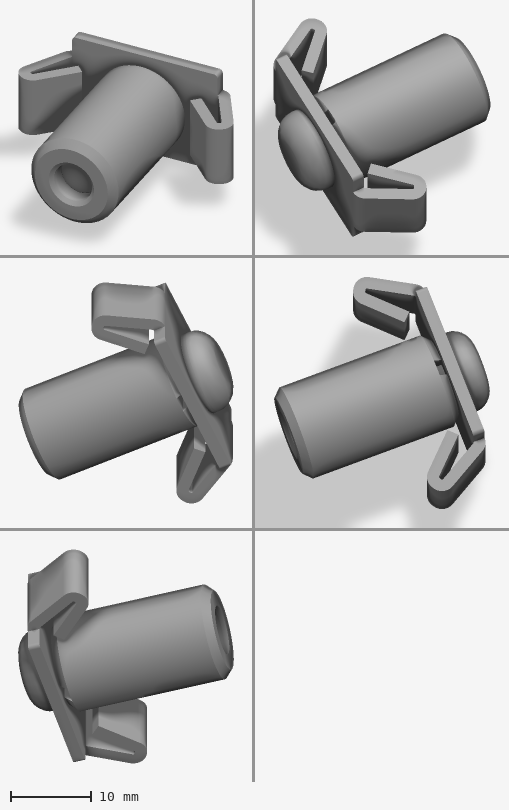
import cadquery as cq
import math


plate_width = 20.0
plate_height = 14.0
sheet_thickness = 1.5
plate_corner_radius = 0.5
arm_height = 8.0
bend_inner_radius = 0.2
bend_outer_radius = bend_inner_radius + sheet_thickness
arm_length = 5.85
fold_flat = 0.2
return_length = 5.85
plate_bend_angle = 60
fold_first_angle = 90
fold_second_angle = 75

head_diameter = 10.5
head_height = 3.33
head_round = 2.65
rod_diameter = 6.0
rod_tip_chamfer = 0.5

barrel_diameter = 12.0
barrel_length = 20.57
barrel_chamfer = 1.0
mouth_diameter = 5.2
mouth_chamfer = 0.5
lip_depth = 2.5
slot_width = 2.0
slot_depth = barrel_chamfer

rod_tip_diameter = rod_diameter - 2 * rod_tip_chamfer
tip_reach = (mouth_diameter - rod_tip_diameter) / 2
rod_length = sheet_thickness + barrel_length - lip_depth + tip_reach


def cylinder(diameter, rear_y, length):
    """Cylinder on the barrel axis, running toward -Y from rear_y."""
    start = cq.Workplane("XZ", origin=(0, rear_y, 0))
    return start.circle(diameter / 2).extrude(length)


def make_barrel():
    barrel = cylinder(barrel_diameter, 0, barrel_length)
    barrel = barrel.faces("<Y or >Y").chamfer(barrel_chamfer)

    barrel = barrel.cut(cylinder(mouth_diameter, 0, barrel_length))
    mouth_edge = barrel.faces("<Y").edges(cq.selectors.RadiusNthSelector(0))
    barrel = mouth_edge.chamfer(mouth_chamfer)
    barrel = barrel.cut(cylinder(rod_diameter, 0, barrel_length - lip_depth))

    slot = cq.Workplane("XY").box(slot_width, 2 * slot_depth, barrel_diameter)
    return barrel.cut(slot)


def make_plunger():
    head = cylinder(head_diameter, sheet_thickness + head_height, head_height)
    head = head.faces(">Y").edges().fillet(head_round)
    rod = cylinder(rod_diameter, sheet_thickness, rod_length)
    rod = rod.faces("<Y").chamfer(rod_tip_chamfer)
    return head.union(rod)


def offset_point(origin, distance, angle):
    """Point at a distance from origin in the XY plane, at an angle in degrees from +X."""
    x, y = origin
    return (x + distance * math.cos(math.radians(angle)), y + distance * math.sin(math.radians(angle)))


def make_right_arm():
    """Arm on the +X side. Every bend turns clockwise about a center on its inner side."""
    bend_start = 90
    arm_radial = bend_start - plate_bend_angle
    flat_radial = arm_radial - fold_first_angle
    return_radial = flat_radial - fold_second_angle

    plate_center = (plate_width / 2, -bend_inner_radius)
    fold_first_center = offset_point(plate_center, arm_length, arm_radial - 90)
    fold_second_center = offset_point(fold_first_center, fold_flat, flat_radial - 90)
    end_center = offset_point(fold_second_center, return_length, return_radial - 90)

    bends = [
        (plate_center, bend_start, arm_radial),
        (fold_first_center, arm_radial, flat_radial),
        (fold_second_center, flat_radial, return_radial),
    ]

    outline = cq.Workplane("XY", origin=(0, 0, -arm_height / 2))
    outline = outline.moveTo(*offset_point(plate_center, bend_outer_radius, bend_start))
    for index, (center, start, end) in enumerate(bends):
        if index > 0:
            outline = outline.lineTo(*offset_point(center, bend_outer_radius, start))
        outline = outline.threePointArc(
            offset_point(center, bend_outer_radius, (start + end) / 2),
            offset_point(center, bend_outer_radius, end),
        )
    outline = outline.lineTo(*offset_point(end_center, bend_outer_radius, return_radial))

    outline = outline.lineTo(*offset_point(end_center, bend_inner_radius, return_radial))
    for center, start, end in reversed(bends):
        outline = outline.lineTo(*offset_point(center, bend_inner_radius, end))
        outline = outline.threePointArc(
            offset_point(center, bend_inner_radius, (start + end) / 2),
            offset_point(center, bend_inner_radius, start),
        )
    return outline.close().extrude(arm_height)


def make_clip():
    plate = cq.Workplane("XY").box(plate_width, sheet_thickness, plate_height)
    plate = plate.edges("|Y").fillet(plate_corner_radius)
    plate = plate.translate((0, sheet_thickness / 2, 0))
    right_arm = make_right_arm()
    left_arm = right_arm.mirror("YZ")
    clip = plate.union(right_arm).union(left_arm)
    return clip.cut(cylinder(rod_diameter, sheet_thickness, sheet_thickness))


barrel = make_barrel()
plunger = make_plunger()
clip = make_clip()

result = cq.Compound.makeCompound([barrel.val(), plunger.val(), clip.val()])